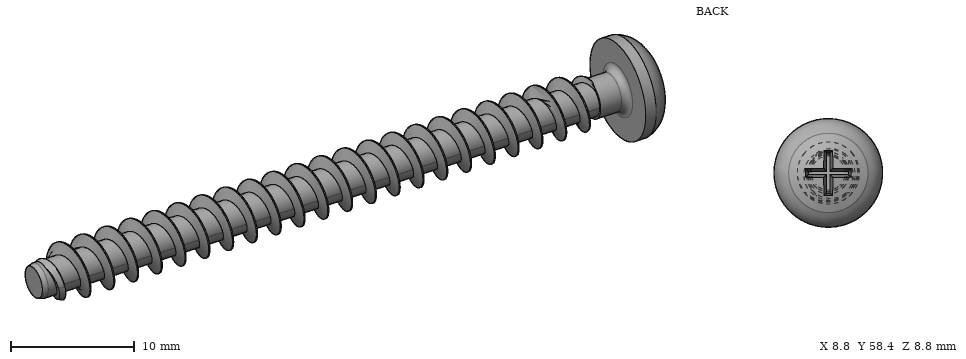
import cadquery as cq
import math

total_length = 58.35

head_height = 3.3
head_diameter = 8.8
head_radius = head_diameter / 2
rim_height = 1.0
crown_radius = 3.2
crown_drop = 0.75
dome_radius = (crown_radius**2 + crown_drop**2) / (2 * crown_drop)

recess_reach = 1.85
recess_arm_width = 0.75
recess_depth = 1.75
recess_taper = 8.0

corner_distance = recess_arm_width / math.sqrt(2)
recess_corner_drop = dome_radius - math.sqrt(dome_radius**2 - corner_distance**2)
tip_y = head_height - recess_corner_drop - total_length

neck_fillet = 0.65
shank_radius = 1.7
shank_length = 2.6
core_radius = 1.5
tip_diameter = 2.75
tip_radius = tip_diameter / 2
tip_chamfer_length = 0.45

thread_radius = 2.5
root_radius = 1.2
root_width = 0.9
crest_width = 0.1
sweep_start = 1.9
sweep_length = 53.8
sweep_turns = 24
pitch = sweep_length / sweep_turns
lead_in_radius = 1.9
lead_in_length = 1.45
run_out_length = 2.45
trim_margin = 1.15


def turned(points):
    """Solid of revolution about Y from a closed (radius, y) outline."""
    return cq.Workplane("XY").polyline(points).close().revolve(360, (0, 0, 0), (0, 1, 0))


def make_head_and_shank():
    """Domed head with a cylindrical rim, a neck fillet and the plain shank."""
    half_reach = crown_radius / 2
    half_drop = dome_radius - math.sqrt(dome_radius**2 - half_reach**2)
    fillet_mid = neck_fillet * (1 - math.sqrt(0.5))
    return (
        cq.Workplane("XY")
        .moveTo(0, head_height)
        .threePointArc(
            (half_reach, head_height - half_drop),
            (crown_radius, head_height - crown_drop),
        )
        .tangentArcPoint((head_radius, rim_height), relative=False)
        .lineTo(head_radius, 0)
        .lineTo(shank_radius + neck_fillet, 0)
        .threePointArc(
            (shank_radius + fillet_mid, -fillet_mid),
            (shank_radius, -neck_fillet),
        )
        .lineTo(shank_radius, -shank_length)
        .lineTo(0, -shank_length)
        .close()
        .revolve(360, (0, 0, 0), (0, 1, 0))
    )


def make_core():
    """Threaded core, running up inside the shank and chamfered at the tip."""
    return (
        cq.Workplane("XZ")
        .circle(core_radius)
        .extrude(-tip_y)
        .faces("<Y")
        .chamfer(tip_chamfer_length, core_radius - tip_radius)
    )


def make_lead_in_trim():
    """Removes the ridge above the thread start and slopes its first turn."""
    slope = (thread_radius - lead_in_radius) / lead_in_length
    trim_length = lead_in_length + trim_margin
    outer_radius = lead_in_radius + slope * trim_length
    return turned([
        (0, 0),
        (outer_radius, 0),
        (outer_radius, -shank_length - trim_length),
        (lead_in_radius, -shank_length),
        (0, -shank_length),
    ])


def make_run_out_trim():
    """Removes the ridge below the thread end and slopes its last turn."""
    slope = (thread_radius - tip_radius) / run_out_length
    trim_length = run_out_length + trim_margin
    outer_radius = tip_radius + slope * trim_length
    thread_end = tip_y + tip_chamfer_length
    below_sweep = -sweep_start - sweep_length - pitch
    return turned([
        (0, below_sweep),
        (outer_radius, below_sweep),
        (outer_radius, thread_end + trim_length),
        (tip_radius, thread_end),
        (0, thread_end),
    ])


def make_thread():
    """Right-handed ridge swept toward the tip, fading at both ends."""
    helix = cq.Wire.makeHelix(pitch, sweep_length, root_radius)
    ridge = (
        cq.Workplane("XZ")
        .polyline([
            (root_radius, -root_width / 2),
            (thread_radius, -crest_width / 2),
            (thread_radius, crest_width / 2),
            (root_radius, root_width / 2),
        ])
        .close()
        .sweep(cq.Workplane(helix), isFrenet=True)
        .rotate((0, 0, 0), (1, 0, 0), 90)
        .translate((0, -sweep_start, 0))
    )
    return ridge.cut(make_lead_in_trim()).cut(make_run_out_trim())


def make_recess():
    """Cross-shaped driver recess that narrows with depth."""
    crown_plane = cq.Workplane("XZ", origin=(0, head_height, 0))
    arm = (
        crown_plane
        .rect(2 * recess_reach, recess_arm_width)
        .extrude(recess_depth, taper=recess_taper)
    )
    return arm.union(arm.rotate((0, 0, 0), (0, 1, 0), 90))


threaded_core = make_core().union(make_thread())
result = threaded_core.union(make_head_and_shank()).cut(make_recess())